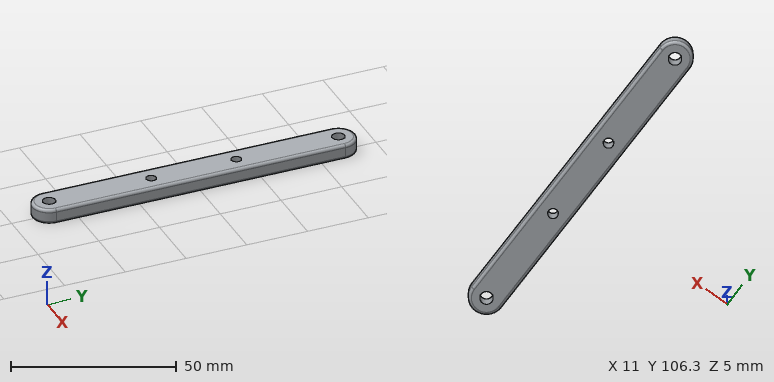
import cadquery as cq

length = 106.3
width = 11.0
thickness = 5.0
edge_radius = 1.0

end_hole_diameter = 4.0
middle_hole_diameter = 3.2
middle_hole_spacing = 28.0
end_hole_spacing = length - width


def hole_pair(diameter, spacing):
    """Two through-hole cutters placed symmetrically along Y."""
    return (
        cq.Workplane("XY")
        .pushPoints([(0, -spacing / 2), (0, spacing / 2)])
        .circle(diameter / 2)
        .extrude(thickness)
    )


bar = (
    cq.Workplane("XY")
    .slot2D(length, width, 90)
    .extrude(thickness)
    .faces("<Z or >Z")
    .edges()
    .fillet(edge_radius)
)

result = (
    bar
    .cut(hole_pair(end_hole_diameter, end_hole_spacing))
    .cut(hole_pair(middle_hole_diameter, middle_hole_spacing))
)